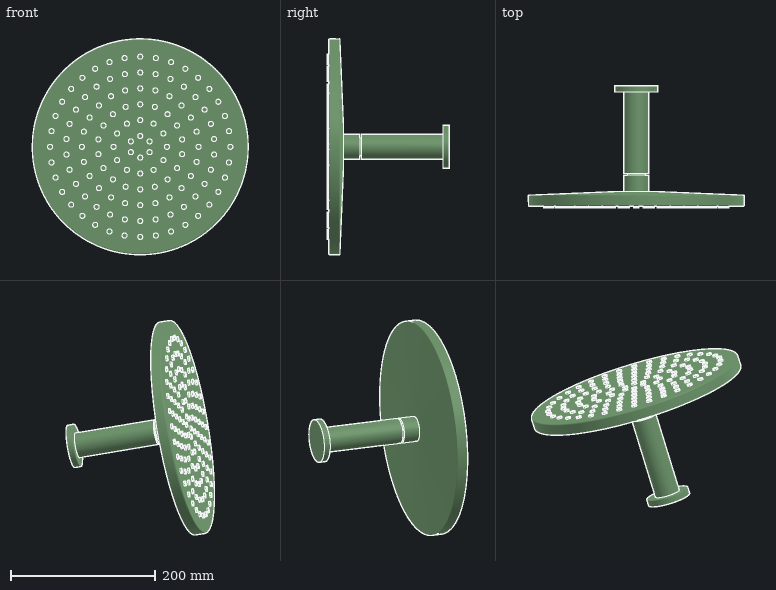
import cadquery as cq
import math


head_radius = 150.0
rim_thickness = 15.8
cone_height = 5.0
cone_top_radius = 30.0
front_edge_round = 2.0
back_edge_round = 1.0
head_back = rim_thickness + cone_height

nozzle_radius = 3.5
nozzle_height = 2.0
ring_count = 6
first_ring_radius = 15.0
ring_spacing = 22.0
nozzles_added_per_ring = 6

pipe_radius = 17.5
core_radius = 12.5
gap_length = 2.0
neck_end = 43.5
arm_start = neck_end + gap_length

wall_face = 167.5
flange_radius = 30.0
flange_thickness = 9.0
flange_edge_round = 0.5
flange_front = wall_face - flange_thickness


def disc(radius, start, end):
    """Solid cylinder on the Y axis, from Y = start to Y = end."""
    return cq.Workplane("XZ", origin=(0, start, 0)).circle(radius).extrude(start - end)


def nozzle_centres():
    """X, Z centres of the nozzles; every ring starts at the top."""
    centres = []
    for ring in range(ring_count):
        ring_radius = first_ring_radius + ring * ring_spacing
        count = nozzles_added_per_ring * (ring + 1)
        for index in range(count):
            angle = 2 * math.pi * index / count
            centres.append((ring_radius * math.sin(angle), ring_radius * math.cos(angle)))
    return centres


def make_head():
    """Disc with a shallow conical back, rounded rim edges and raised nozzles."""
    profile = (
        cq.Workplane("XY")
        .moveTo(0, 0)
        .lineTo(head_radius, 0)
        .lineTo(head_radius, rim_thickness)
        .lineTo(cone_top_radius, head_back)
        .lineTo(0, head_back)
        .close()
    )
    head = profile.revolve(360, (0, 0, 0), (0, 1, 0))
    head = head.faces("<Y").edges().fillet(front_edge_round)
    rim_back_edge = cq.selectors.NearestToPointSelector((0, rim_thickness, 0))
    head = head.edges("%CIRCLE").edges(rim_back_edge).fillet(back_edge_round)
    nozzles = cq.Workplane("XZ").pushPoints(nozzle_centres()).circle(nozzle_radius).extrude(nozzle_height)
    return head.union(nozzles)


def make_neck():
    """Short pipe stub standing on the back of the head."""
    return disc(pipe_radius, head_back, neck_end)


def make_core():
    """Narrow connector that shows in the gap between neck and arm."""
    return disc(core_radius, neck_end, arm_start)


def make_arm():
    """Long pipe from the gap to the wall flange."""
    return disc(pipe_radius, arm_start, flange_front)


def make_flange():
    """Wall plate with a rounded front edge."""
    return disc(flange_radius, flange_front, wall_face).faces("<Y").edges().fillet(flange_edge_round)


head = make_head()
neck = make_neck()
core = make_core()
arm = make_arm()
flange = make_flange()

result = cq.Compound.makeCompound([head.val(), neck.val(), core.val(), arm.val(), flange.val()])